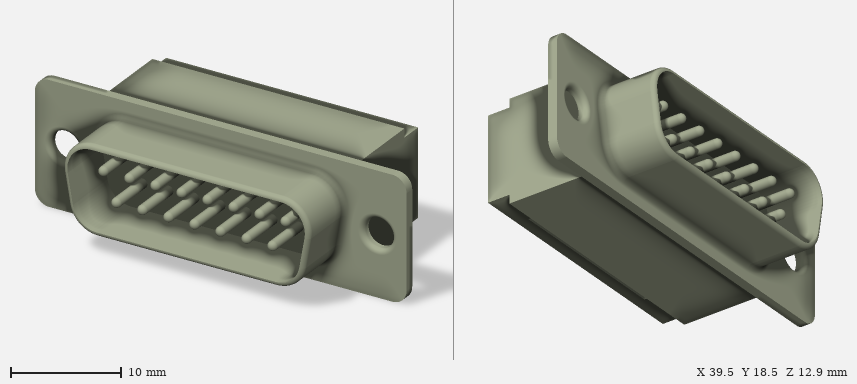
import cadquery as cq
import math

plate_width = 39.52
plate_height = 12.92
plate_thickness = 1.0
plate_corner_radius = 1.5

hole_spacing = 33.3
hole_diameter = 3.1
hole_edge_radius = 0.5

housing_width = 26.8
housing_height = 11.05
housing_length = 11.45
step_length = 2.4
step_height = 9.2

recess_width = 17.8
recess_length = 1.2
recess_depth = 0.4

shell_height = step_height
shell_length = 6.05
shell_wall = 0.47
shell_corner_radius = 3.05
shell_top_flat = 20.1
shell_side_angle = math.radians(10)
rounding_radius = shell_wall

pin_diameter = 1.0
pin_pitch = 2.75
pin_row_spacing = 2.85
pin_top_count = 8
pin_bottom_count = 7
pin_length = 5.0

face_tolerance = 0.05

plate_back = plate_thickness
housing_back = plate_back + housing_length
step_front = housing_back - step_length


def block(width, height, y_start, y_end):
    """Box centred on X and Z that runs from y_start to y_end."""
    return cq.Workplane("XY").box(width, y_end - y_start, height).translate((0, (y_start + y_end) / 2, 0))


def front_plane(y):
    """Sketch plane at the given y whose normal points to -Y."""
    return cq.Workplane("XZ", origin=(0, y, 0))


def d_outline(plane, inset):
    """D-shaped outline, narrower at the bottom, moved inwards by inset."""
    radius = shell_corner_radius - inset
    centre_z = shell_height / 2 - shell_corner_radius
    top_x = shell_top_flat / 2
    bottom_x = top_x - 2 * centre_z * math.tan(shell_side_angle)

    def top(side, angle):
        return side * (top_x + radius * math.cos(angle)), centre_z + radius * math.sin(angle)

    def bottom(side, angle):
        return side * (bottom_x + radius * math.cos(angle)), -centre_z + radius * math.sin(angle)

    up = math.pi / 2
    down = -math.pi / 2
    slant = -shell_side_angle
    top_middle = (up + slant) / 2
    bottom_middle = (down + slant) / 2
    return (
        plane.moveTo(*top(-1, up))
        .lineTo(*top(1, up))
        .threePointArc(top(1, top_middle), top(1, slant))
        .lineTo(*bottom(1, slant))
        .threePointArc(bottom(1, bottom_middle), bottom(1, down))
        .lineTo(*bottom(-1, down))
        .threePointArc(bottom(-1, bottom_middle), bottom(-1, slant))
        .lineTo(*top(-1, slant))
        .threePointArc(top(-1, top_middle), top(-1, up))
        .close()
    )


def front_face_zone(width, height):
    """Selector for edges on the plate's front face within a centred width x height window."""
    corner = (width / 2, face_tolerance, height / 2)
    return cq.selectors.BoxSelector(tuple(-value for value in corner), corner)


def make_plate():
    """Rounded plate with two through holes, rounded at the front."""
    plate = block(plate_width, plate_height, 0, plate_back)
    plate = plate.edges("|Y").fillet(plate_corner_radius)
    hole_centres = [(-hole_spacing / 2, 0), (hole_spacing / 2, 0)]
    holes = front_plane(plate_back).pushPoints(hole_centres).circle(hole_diameter / 2).extrude(plate_thickness)
    plate = plate.cut(holes)
    hole_edges = front_face_zone(hole_spacing + hole_diameter, hole_diameter)
    return plate.edges(hole_edges).fillet(hole_edge_radius)


def make_housing():
    """Block with a lower rear step, recessed on its top and bottom next to the step."""
    housing = block(housing_width, housing_height, plate_back, step_front)
    housing = housing.union(block(housing_width, step_height, step_front, housing_back))
    recess_end = step_front + recess_length
    recess = block(recess_width, step_height, step_front, recess_end)
    recess = recess.cut(block(recess_width, step_height - 2 * recess_depth, step_front, recess_end))
    return housing.cut(recess)


def add_shell(body):
    """Add the shell to the front of the plate, round its rim and root, and hollow it."""
    shell = d_outline(front_plane(0), 0).extrude(shell_length)
    shell = shell.faces("<Y").edges().fillet(rounding_radius)
    body = body.union(shell)
    root_edges = front_face_zone(housing_width, housing_height)
    body = body.edges(root_edges).fillet(rounding_radius)
    return body.cut(d_outline(front_plane(0), shell_wall).extrude(shell_length))


def pin_row(count, z):
    """Row of round-tipped pins at height z, centred on X."""
    first_x = -pin_pitch * (count - 1) / 2
    centres = [(first_x + i * pin_pitch, z) for i in range(count)]
    radius = pin_diameter / 2
    tip_centre = radius - pin_length
    row = front_plane(plate_back).pushPoints(centres).circle(radius).extrude(plate_back - tip_centre)
    tips = front_plane(tip_centre).pushPoints(centres).sphere(radius)
    return row.union(tips)


result = add_shell(make_plate()).union(make_housing())
result = result.union(pin_row(pin_top_count, pin_row_spacing / 2))
result = result.union(pin_row(pin_bottom_count, -pin_row_spacing / 2))